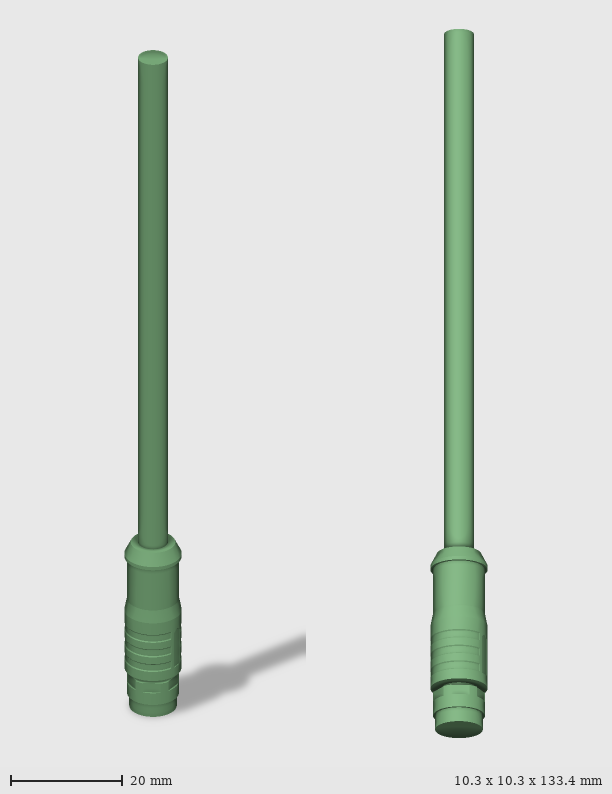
import cadquery as cq

total_length = 133.4
cable_radius = 2.7

nose_radius = 4.3
nose_top = 2.7
ring_radius = 4.7
ring_top = 7.0
neck_radius = 3.2

sleeve_radius = 10.3 / 2
sleeve_bottom = 7.9
taper_bottom = 19.7
taper_top = 22.1
body_radius = ring_radius

collar_bottom = 30.7
shoulder_bottom = 31.3
shoulder_top = 33.6
shoulder_top_radius = 4.0

key_turn = -16.0

notch_count = 6
notch_width = 3.2
notch_bottom = 5.1
notch_floor_distance = 4.3

groove_count = 3
groove_height = 1.6
grip_bottom = 9.7
grip_height = 7.6
groove_pitch = (grip_height - groove_height) / (groove_count - 1)
groove_depth = 0.1
groove_wall_rise = 0.2
groove_end_run = 0.7

panel_width = 1.7
panel_bottom = grip_bottom
panel_height = 7.7
panel_point_height = 0.7
panel_tip = panel_bottom + panel_height
panel_shoulder = panel_tip - panel_point_height
panel_depth = 0.16


def turned_body():
    """Solid of revolution: nose, ring, neck, sleeve, collar and cable."""
    profile = (
        cq.Workplane("XZ")
        .lineTo(nose_radius, 0)
        .lineTo(nose_radius, nose_top)
        .lineTo(ring_radius, nose_top)
        .lineTo(ring_radius, ring_top)
        .lineTo(neck_radius, ring_top)
        .lineTo(neck_radius, sleeve_bottom)
        .lineTo(sleeve_radius, sleeve_bottom)
        .lineTo(sleeve_radius, taper_bottom)
        .lineTo(body_radius, taper_top)
        .lineTo(body_radius, collar_bottom)
        .lineTo(sleeve_radius, collar_bottom)
        .lineTo(sleeve_radius, shoulder_bottom)
        .lineTo(shoulder_top_radius, shoulder_top)
        .lineTo(cable_radius, shoulder_top)
        .lineTo(cable_radius, total_length)
        .lineTo(0, total_length)
        .close()
    )
    return profile.revolve(360, (0, 0, 0), (0, 1, 0))


def ring_notches():
    """Cutters for the notches, open at the top of the ring."""
    cutter = (
        cq.Workplane("XY", origin=(0, 0, notch_bottom))
        .box(ring_radius, notch_width, ring_top - notch_bottom, centered=(False, True, False))
        .translate((notch_floor_distance, 0, 0))
    )
    notches = cq.Workplane("XY")
    for index in range(notch_count):
        notches = notches.add(cutter.rotate((0, 0, 0), (0, 0, 1), index * 360 / notch_count))
    return notches.combine()


def marker_land():
    """Block on +X that interrupts the grooves beside a panel, wider toward the groove floor."""
    floor_radius = sleeve_radius - groove_depth
    floor_half_width = panel_width / 2 + groove_end_run
    top_half_width = panel_width / 2
    return (
        cq.Workplane("XY", origin=(0, 0, grip_bottom))
        .moveTo(0, -floor_half_width)
        .lineTo(floor_radius, -floor_half_width)
        .lineTo(sleeve_radius, -top_half_width)
        .lineTo(sleeve_radius, top_half_width)
        .lineTo(floor_radius, floor_half_width)
        .lineTo(0, floor_half_width)
        .close()
        .extrude(grip_height)
    )


def grip_grooves():
    """Shallow ring cutters with sloped walls and a gap at each marker panel."""
    floor_radius = sleeve_radius - groove_depth
    grooves = cq.Workplane("XY")
    for index in range(groove_count):
        bottom = grip_bottom + index * groove_pitch
        top = bottom + groove_height
        groove = (
            cq.Workplane("XZ")
            .moveTo(sleeve_radius, bottom)
            .lineTo(floor_radius, bottom + groove_wall_rise)
            .lineTo(floor_radius, top - groove_wall_rise)
            .lineTo(sleeve_radius, top)
            .close()
            .revolve(360, (0, 0, 0), (0, 1, 0))
        )
        grooves = grooves.add(groove)
    land = marker_land()
    return grooves.combine().cut(land).cut(land.rotate((0, 0, 0), (0, 0, 1), 180))


def marker_panels():
    """Flat-floored pockets shaped like a bar with a pointed upper end."""
    half_width = panel_width / 2
    floor_distance = sleeve_radius - panel_depth
    panel = (
        cq.Workplane("YZ", origin=(floor_distance, 0, 0))
        .moveTo(-half_width, panel_bottom)
        .lineTo(half_width, panel_bottom)
        .lineTo(half_width, panel_shoulder)
        .lineTo(0, panel_tip)
        .lineTo(-half_width, panel_shoulder)
        .close()
        .extrude(sleeve_radius)
    )
    return panel.union(panel.rotate((0, 0, 0), (0, 0, 1), 180))


connector = turned_body().cut(ring_notches()).cut(grip_grooves()).cut(marker_panels())
result = connector.rotate((0, 0, 0), (0, 0, 1), key_turn)